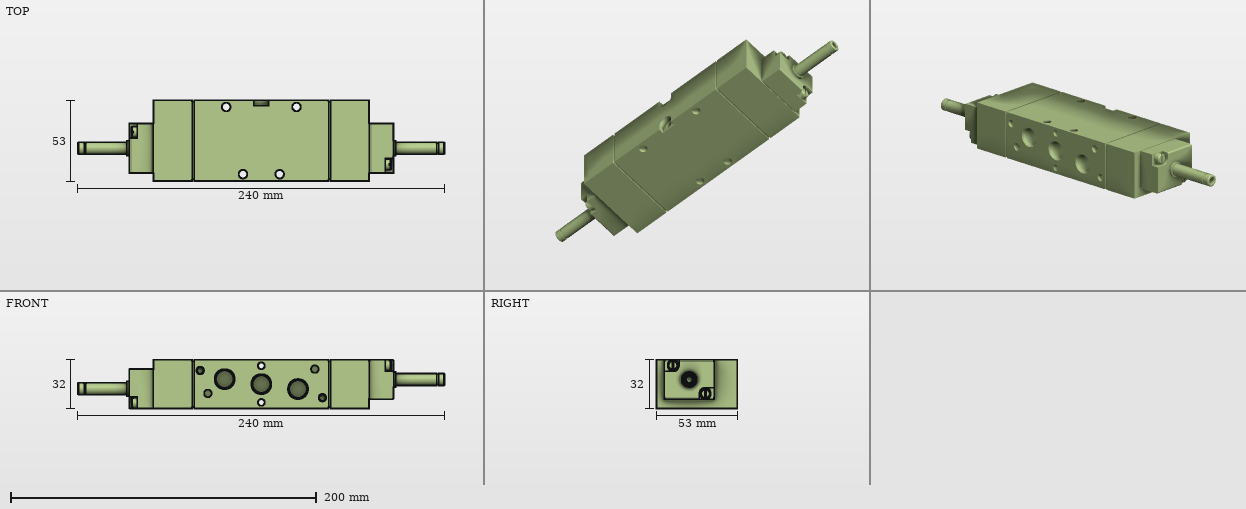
import cadquery as cq

TOTAL_LENGTH = 240.0
BODY_DEPTH = 53.0
BODY_HEIGHT = 32.0

BODY_HALF_LENGTH = 44.0
SEAL_THICKNESS = 1.3
SEAL_RECESS = 1.0
CAP_LENGTH = 25.3
COIL_LENGTH = 16.0
CAP_START = BODY_HALF_LENGTH + SEAL_THICKNESS
COIL_START = CAP_START + CAP_LENGTH
COIL_END = COIL_START + COIL_LENGTH

COIL_DEPTH = 32.5
COIL_HEIGHT = 26.0
COIL_Y = -5.0
COIL_Z = (COIL_HEIGHT - BODY_HEIGHT) / 2
COIL_FILLET = 1.0

SCREW_DIAMETER = 7.0
SCREW_HEAD_HEIGHT = 4.0
SCREW_CHAMFER = 0.7
SCREW_SLOT_WIDTH = 1.0
SCREW_SLOT_DEPTH = 1.5
SCREW_EDGE_Y = 5.6
SCREW_EDGE_Z = 3.7
POCKET_RADIUS = 4.0
POCKET_DEPTH = 5.4

TUBE_DIAMETER = 8.0
FLANGE_DIAMETER = 10.0
FLANGE_LENGTH = 1.5
GROOVE_DIAMETER = 7.0
GROOVE_WIDTH = 1.2
TIP_LENGTH = 4.0
TIP_CHAMFER = 0.5
TUBE_BORE_DEPTH = 8.0

M5_BORE = 4.13
M5_MOUTH = 5.0
DRILL_POINT_HEIGHT = 1.2

PORT_SPACING = 24.0
PORT_SLANT = 3.25
PORT_DIAMETER = 11.45
PORT_MOUTH = 13.2
PORT_DEPTH = 12.0
PILOT_PLACE = (-40.0, 8.9)
PILOT_DEPTH = 10.0
PIN_HOLE_PLACES = [(-35.0, -6.1), (35.0, 9.8)]
PIN_HOLE_DIAMETER = 5.0
PIN_HOLE_DEPTH = 4.0
THROUGH_DIAMETER = 4.3
THROUGH_Z = 12.0
BACK_SLOT_WIDTH = 10.0
BACK_SLOT_DEPTH = 3.6

MOUNT_DIAMETER = 5.5
MOUNT_Y = 22.0
MOUNT_X_BACK = 23.0
MOUNT_X_FRONT = 12.0

FRONT_Y = -BODY_DEPTH / 2


def half_turn(shape):
    """Copy of a shape turned half way round about the Y axis."""
    return shape.rotate((0, 0, 0), (0, 1, 0), 180)


def along_x(x_start, y, z, diameter, length):
    """Cylinder pointing along +X."""
    return cq.Workplane("YZ", origin=(x_start, y, z)).circle(diameter / 2).extrude(length)


def along_y(x, z, diameter, length):
    """Cylinder going from the front face toward +Y."""
    return cq.Workplane("XZ", origin=(x, FRONT_Y, z)).circle(diameter / 2).extrude(-length)


def countersink(bore, mouth):
    """Cone on +Z that opens a bore to its mouth at a 45 degree slope."""
    depth = (mouth - bore) / 2
    profile = [(0, 0), (mouth / 2, 0), (bore / 2, depth), (0, depth)]
    return cq.Workplane("XZ").polyline(profile).close().revolve(360, (0, 0, 0), (0, 1, 0))


def m5_hole(depth):
    """Tapped hole starting at the origin and going along +Z."""
    radius = M5_BORE / 2
    mouth_depth = (M5_MOUTH - M5_BORE) / 2
    profile = [
        (0, 0),
        (M5_MOUTH / 2, 0),
        (radius, mouth_depth),
        (radius, depth),
        (0, depth + DRILL_POINT_HEIGHT),
    ]
    return cq.Workplane("XZ").polyline(profile).close().revolve(360, (0, 0, 0), (0, 1, 0))


def from_front(cutter, x, z):
    """Move a +Z cutter so that it enters the front face along +Y."""
    return cutter.rotate((0, 0, 0), (1, 0, 0), -90).translate((x, FRONT_Y, z))


def make_stack():
    """Body, recessed seal plates and end caps."""
    stack = cq.Workplane("XY").box(2 * COIL_START, BODY_DEPTH, BODY_HEIGHT)
    ring = cq.Workplane("XY").box(SEAL_THICKNESS, BODY_DEPTH, BODY_HEIGHT)
    plate = cq.Workplane("XY").box(
        SEAL_THICKNESS,
        BODY_DEPTH - 2 * SEAL_RECESS,
        BODY_HEIGHT - 2 * SEAL_RECESS,
    )
    groove = ring.cut(plate)
    groove_x = BODY_HALF_LENGTH + SEAL_THICKNESS / 2
    for x in (-groove_x, groove_x):
        stack = stack.cut(groove.translate((x, 0, 0)))
    return stack


def cut_corner_screw(coil, side):
    """Pocket and slotted screw; side +1 is the +Y +Z corner, -1 the opposite one."""
    screw_y = COIL_Y + side * (COIL_DEPTH / 2 - SCREW_EDGE_Y)
    screw_z = COIL_Z + side * (COIL_HEIGHT / 2 - SCREW_EDGE_Z)
    size_y = SCREW_EDGE_Y + POCKET_RADIUS
    size_z = SCREW_EDGE_Z + POCKET_RADIUS
    corner_y = COIL_Y + side * COIL_DEPTH / 2
    corner_z = COIL_Z + side * COIL_HEIGHT / 2
    inner_corner = "<Y and <Z" if side > 0 else ">Y and >Z"
    pocket = (
        cq.Workplane("XY")
        .box(POCKET_DEPTH, size_y, size_z)
        .edges(inner_corner)
        .fillet(POCKET_RADIUS)
        .translate((
            -COIL_END + POCKET_DEPTH / 2,
            corner_y - side * size_y / 2,
            corner_z - side * size_z / 2,
        ))
    )
    head_x = -COIL_END + POCKET_DEPTH - SCREW_HEAD_HEIGHT
    head = along_x(head_x, screw_y, screw_z, SCREW_DIAMETER, SCREW_HEAD_HEIGHT)
    head = head.faces("<X").chamfer(SCREW_CHAMFER)
    slot = (
        cq.Workplane("XY")
        .box(SCREW_SLOT_DEPTH, SCREW_SLOT_WIDTH, SCREW_DIAMETER)
        .translate((head_x + SCREW_SLOT_DEPTH / 2, screw_y, screw_z))
    )
    return coil.cut(pocket).union(head.cut(slot))


def make_coil():
    """Left pilot coil block with its two corner screws."""
    coil = (
        cq.Workplane("XY")
        .box(COIL_LENGTH, COIL_DEPTH, COIL_HEIGHT)
        .edges("|Y")
        .fillet(COIL_FILLET)
        .translate((-COIL_START - COIL_LENGTH / 2, COIL_Y, COIL_Z))
    )
    for side in (1, -1):
        coil = cut_corner_screw(coil, side)
    return coil


def make_tube():
    """Left armature tube with its flange, tip groove and tapped bore."""
    tip_x = -TOTAL_LENGTH / 2
    tube = along_x(tip_x, COIL_Y, COIL_Z, TUBE_DIAMETER, TOTAL_LENGTH / 2 - COIL_END)
    tube = tube.faces("<X").chamfer(TIP_CHAMFER)
    groove_x = tip_x + TIP_LENGTH
    groove = along_x(groove_x, COIL_Y, COIL_Z, TUBE_DIAMETER, GROOVE_WIDTH)
    groove = groove.cut(along_x(groove_x, COIL_Y, COIL_Z, GROOVE_DIAMETER, GROOVE_WIDTH))
    flange_x = -COIL_END - FLANGE_LENGTH
    flange = along_x(flange_x, COIL_Y, COIL_Z, FLANGE_DIAMETER, FLANGE_LENGTH)
    bore = m5_hole(TUBE_BORE_DEPTH).rotate((0, 0, 0), (0, 1, 0), 90)
    return tube.cut(groove).union(flange).cut(bore.translate((tip_x, COIL_Y, COIL_Z)))


def cut_ports(body):
    """Three threaded ports on a slanted line across the front face."""
    for step in (-1, 0, 1):
        x = step * PORT_SPACING
        z = -step * PORT_SLANT
        body = body.cut(along_y(x, z, PORT_DIAMETER, PORT_DEPTH))
        body = body.cut(from_front(countersink(PORT_DIAMETER, PORT_MOUTH), x, z))
    return body


def cut_pin_holes(body):
    """Two flat-bottomed locating holes in the front face."""
    for x, z in PIN_HOLE_PLACES:
        body = body.cut(along_y(x, z, PIN_HOLE_DIAMETER, PIN_HOLE_DEPTH))
    return body


def make_back_slot():
    """Round-ended recess at the back of the upper through hole, open to the top."""
    length = BODY_HEIGHT / 2 - THROUGH_Z
    slot_y = BODY_DEPTH / 2 - BACK_SLOT_DEPTH
    round_end = (
        cq.Workplane("XZ", origin=(0, slot_y, THROUGH_Z))
        .circle(BACK_SLOT_WIDTH / 2)
        .extrude(-BACK_SLOT_DEPTH)
    )
    straight = (
        cq.Workplane("XZ", origin=(0, slot_y, THROUGH_Z + length / 2))
        .rect(BACK_SLOT_WIDTH, length)
        .extrude(-BACK_SLOT_DEPTH)
    )
    return round_end.union(straight)


def cut_paired_front_holes(body):
    """Front-face holes and back slots, each with its half-turn partner."""
    cutters = [
        from_front(m5_hole(PILOT_DEPTH), *PILOT_PLACE),
        along_y(0, THROUGH_Z, THROUGH_DIAMETER, BODY_DEPTH),
        make_back_slot(),
    ]
    for cutter in cutters:
        body = body.cut(cutter).cut(half_turn(cutter))
    return body


def cut_mounting_holes(body):
    """Four vertical through holes, wider apart at the back than at the front."""
    places = []
    for side in (-1, 1):
        places.append((side * MOUNT_X_BACK, MOUNT_Y))
        places.append((side * MOUNT_X_FRONT, -MOUNT_Y))
    holes = (
        cq.Workplane("XY", origin=(0, 0, -BODY_HEIGHT / 2))
        .pushPoints(places)
        .circle(MOUNT_DIAMETER / 2)
        .extrude(BODY_HEIGHT)
    )
    return body.cut(holes)


valve = make_stack()
valve = cut_ports(valve)
valve = cut_pin_holes(valve)
valve = cut_paired_front_holes(valve)
valve = cut_mounting_holes(valve)

pilot = make_coil().union(make_tube())
result = valve.union(pilot).union(half_turn(pilot))